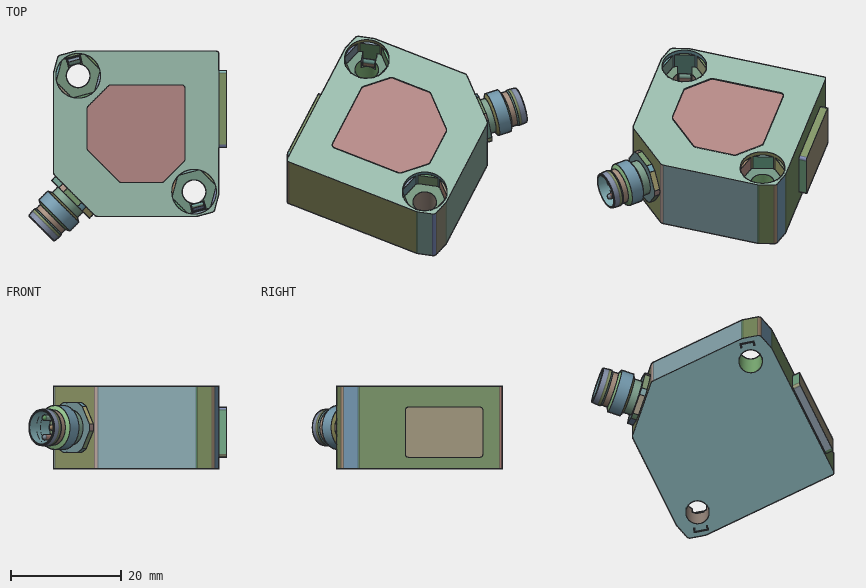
import cadquery as cq
import math

SIDE = 30.0
HEIGHT = 15.0
HALF = SIDE / 2
CONNECTOR_FACE_DIST = 15.77
RELIEF_START = 11.0
RELIEF_ANGLE = 15.0
BEVEL_RADIUS = 0.9
RELIEF_RADIUS = 0.75
CORNER_RADIUS = 0.5

HOLE_OFFSET = 10.5
HOLE_DIAMETER = 4.25
COUNTERBORE_DIAMETER = 8.1
COUNTERBORE_DEPTH = 0.85
NUT_FLATS = 7.2
NUT_CORNER_DIAMETER = COUNTERBORE_DIAMETER
NUT_DEPTH = 3.0
SEAT_Z = HEIGHT - COUNTERBORE_DEPTH - NUT_DEPTH
HEX_CORNER_FACTOR = 2 / math.sqrt(3)

TONGUE_DIRECTION = 105.0
SLOT_WIDTH = 2.6
SLOT_END = NUT_FLATS / 2
TONGUE_GAP = 0.2
TONGUE_WIDTH = SLOT_WIDTH - 2 * TONGUE_GAP
TONGUE_OUTER = SLOT_END - TONGUE_GAP
TONGUE_CREST_OUTER = 2.85
TONGUE_CREST_INNER = 2.67
TONGUE_INNER = 2.15
TONGUE_SETBACK = 1.0
TONGUE_TOP_Z = SEAT_Z - TONGUE_SETBACK
TONGUE_SLOPE_HEIGHT = 1.0
TONGUE_HEIGHT = 1.5
WEB_TOP_Z = TONGUE_TOP_Z - TONGUE_HEIGHT
WEB_OUTER = 2.8

RECESS_SIDE = 17.75
RECESS_DEPTH = 0.2
RECESS_HOLE_CUT = 13.7
RECESS_CONNECTOR_CUT = 11.75
RECESS_RADIUS = 0.7

PLATE_THICKNESS = 1.4
PLATE_WIDTH = 14.0
PLATE_HEIGHT = 9.08
PLATE_CENTER_Y = 4.47
PLATE_CENTER_Z = 6.65
PLATE_RADIUS = 0.5

CONNECTOR_Z = HEIGHT / 2
FLANGE_FLATS = 9.0
FLANGE_CORNER_DIAMETER = 9.72
FLANGE_THICKNESS = 1.05
NECK_RADIUS = 3.22
RING_RADIUS = 4.0
RING_START = 18.65
RING_END = 20.95
RING_CONE_LENGTH = 0.4
TIP_RADIUS = 3.4
TIP_CONE_START = 22.35
TIP_CONE_END = 22.65
TIP_TAPER_START = 23.15
TIP_END = 24.29
TIP_EDGE_RADIUS = 3.3
RIM_CHAMFER = 0.1
BORE_RADIUS = 3.0
BORE_FLOOR = 19.2
PIN_RADIUS = 0.5
PIN_CIRCLE_RADIUS = 1.75
PIN_TIP = 23.9


def rounded_edges(solid, points, radius):
    """Fillet the vertical edges that pass through the given XY points."""
    reach = 0.1
    for x, y in points:
        corner = cq.selectors.BoxSelector(
            (x - reach, y - reach, -HEIGHT), (x + reach, y + reach, 2 * HEIGHT)
        )
        solid = solid.edges("|Z").edges(corner).fillet(radius)
    return solid


def opposite(points):
    """Mirror points across the diagonal that carries the connector."""
    return [(y, x) for x, y in points]


def make_housing():
    bevel = CONNECTOR_FACE_DIST * math.sqrt(2) - HALF
    slant = math.tan(math.radians(RELIEF_ANGLE))
    relief_corner = (HALF + slant * RELIEF_START) / (1 + slant)
    bevel_edge = [(-HALF, -bevel)]
    relief_edge = [(-HALF, RELIEF_START), (-RELIEF_START, HALF)]
    relief_tip = [(-relief_corner, relief_corner)]
    plain_corner = [(HALF, HALF)]
    outline = (
        bevel_edge
        + relief_edge[:1] + relief_tip + relief_edge[1:]
        + plain_corner
        + opposite(relief_edge[1:] + relief_tip + relief_edge[:1])
        + opposite(bevel_edge)
    )
    body = cq.Workplane("XY").polyline(outline).close().extrude(HEIGHT)
    body = rounded_edges(body, bevel_edge + opposite(bevel_edge), BEVEL_RADIUS)
    body = rounded_edges(body, relief_tip + opposite(relief_tip), RELIEF_RADIUS)
    body = rounded_edges(body, relief_edge + opposite(relief_edge), BEVEL_RADIUS)
    return rounded_edges(body, plain_corner, CORNER_RADIUS)


def make_recess():
    half = RECESS_SIDE / 2
    hole_end = RECESS_HOLE_CUT - half
    connector_end = RECESS_CONNECTOR_CUT - half
    outline = [
        (-half, -connector_end),
        (-half, hole_end),
        (-hole_end, half),
        (half, half),
        (half, -hole_end),
        (hole_end, -half),
        (-connector_end, -half),
    ]
    recess = cq.Workplane("XY", origin=(0, 0, HEIGHT - RECESS_DEPTH))
    recess = recess.polyline(outline).close().extrude(RECESS_DEPTH)
    return recess.edges("|Z").fillet(RECESS_RADIUS)


def truncated_hexagon(plane, flats, corner_diameter, length):
    """Hexagonal prism with a flat facing the plane's Y and its corners turned off."""
    prism = plane.polygon(6, flats * HEX_CORNER_FACTOR).extrude(length)
    return prism.intersect(plane.circle(corner_diameter / 2).extrude(length))


def slot_block(inner, outer, width, bottom, top):
    """Block running outwards along +X, between two radii from the hole axis."""
    block = cq.Workplane("XY").box(outer - inner, width, top - bottom, centered=(False, True, False))
    return block.translate((inner, 0, bottom))


def make_tongue():
    """Snap tongue with a steep outer slope and a rounded inner shoulder."""
    shoulder = TONGUE_CREST_INNER - TONGUE_INNER
    middle = shoulder * math.sqrt(0.5)
    profile = (
        cq.Workplane("XZ", origin=(0, TONGUE_WIDTH / 2, 0))
        .moveTo(TONGUE_INNER, 0)
        .lineTo(TONGUE_OUTER, 0)
        .lineTo(TONGUE_OUTER, TONGUE_TOP_Z - TONGUE_SLOPE_HEIGHT)
        .lineTo(TONGUE_CREST_OUTER, TONGUE_TOP_Z)
        .lineTo(TONGUE_CREST_INNER, TONGUE_TOP_Z)
        .threePointArc(
            (TONGUE_CREST_INNER - middle, TONGUE_TOP_Z - shoulder + middle),
            (TONGUE_INNER, TONGUE_TOP_Z - shoulder),
        )
        .close()
    )
    return profile.extrude(TONGUE_WIDTH)


def make_mounting_cut():
    """Everything removed at one mounting hole, with the hole on the Z axis."""
    bore = cq.Workplane("XY").circle(HOLE_DIAMETER / 2).extrude(HEIGHT)
    counterbore = cq.Workplane("XY", origin=(0, 0, HEIGHT - COUNTERBORE_DEPTH))
    counterbore = counterbore.circle(COUNTERBORE_DIAMETER / 2).extrude(COUNTERBORE_DEPTH)

    nut_plane = cq.Workplane("XY", origin=(0, 0, SEAT_Z))
    nut = truncated_hexagon(nut_plane, NUT_FLATS, NUT_CORNER_DIAMETER, NUT_DEPTH)
    nut = nut.rotate((0, 0, 0), (0, 0, 1), TONGUE_DIRECTION - 90)

    slot = slot_block(0, SLOT_END, SLOT_WIDTH, WEB_TOP_Z, SEAT_Z)
    through_gap = slot_block(WEB_OUTER, SLOT_END, SLOT_WIDTH, 0, SEAT_Z)
    slot = slot.union(through_gap).cut(make_tongue())
    slot = slot.rotate((0, 0, 0), (0, 0, 1), TONGUE_DIRECTION)
    return bore.union(counterbore).union(nut).union(slot)


def make_plate():
    plate = cq.Workplane("XY").box(PLATE_THICKNESS, PLATE_WIDTH, PLATE_HEIGHT)
    plate = plate.edges("|X").fillet(PLATE_RADIUS)
    return plate.translate((HALF + PLATE_THICKNESS / 2, PLATE_CENTER_Y, PLATE_CENTER_Z))


def make_pin(u, v):
    """Round-ended contact pin standing on the bore floor."""
    pin = cq.Workplane("XY", origin=(u, v, BORE_FLOOR)).circle(PIN_RADIUS)
    pin = pin.extrude(PIN_TIP - PIN_RADIUS - BORE_FLOOR)
    ball = cq.Workplane("XY").sphere(PIN_RADIUS).translate((u, v, PIN_TIP - PIN_RADIUS))
    return pin.union(ball)


def make_connector():
    """Connector built along +Z, then laid on the diagonal towards -X -Y."""
    start = CONNECTOR_FACE_DIST
    flange_plane = cq.Workplane("XY", origin=(0, 0, start))
    flange = truncated_hexagon(flange_plane, FLANGE_FLATS, FLANGE_CORNER_DIAMETER, FLANGE_THICKNESS)

    profile = [
        (0, start),
        (NECK_RADIUS, start),
        (NECK_RADIUS, RING_START - RING_CONE_LENGTH),
        (RING_RADIUS, RING_START),
        (RING_RADIUS, RING_END),
        (NECK_RADIUS, RING_END + RING_CONE_LENGTH),
        (NECK_RADIUS, TIP_CONE_START),
        (TIP_RADIUS, TIP_CONE_END),
        (TIP_RADIUS, TIP_TAPER_START),
        (TIP_EDGE_RADIUS, TIP_END - RIM_CHAMFER),
        (TIP_EDGE_RADIUS - RIM_CHAMFER, TIP_END),
        (BORE_RADIUS, TIP_END),
        (BORE_RADIUS, BORE_FLOOR),
        (0, BORE_FLOOR),
    ]
    shell = cq.Workplane("XZ").polyline(profile).close().revolve(360, (0, 0), (0, 1))
    connector = flange.union(shell)
    for u, v in ((0, PIN_CIRCLE_RADIUS), (0, -PIN_CIRCLE_RADIUS), (PIN_CIRCLE_RADIUS, 0)):
        connector = connector.union(make_pin(u, v))

    diagonal = cq.Plane(origin=(0, 0, CONNECTOR_Z), xDir=(1, -1, 0), normal=(-1, -1, 0))
    return connector.val().moved(cq.Location(diagonal))


mounting_cut = make_mounting_cut().translate((-HOLE_OFFSET, HOLE_OFFSET, 0))

result = make_housing().cut(make_recess())
for turn in (0, 180):
    result = result.cut(mounting_cut.rotate((0, 0, 0), (0, 0, 1), turn))
result = result.union(make_plate()).union(make_connector())